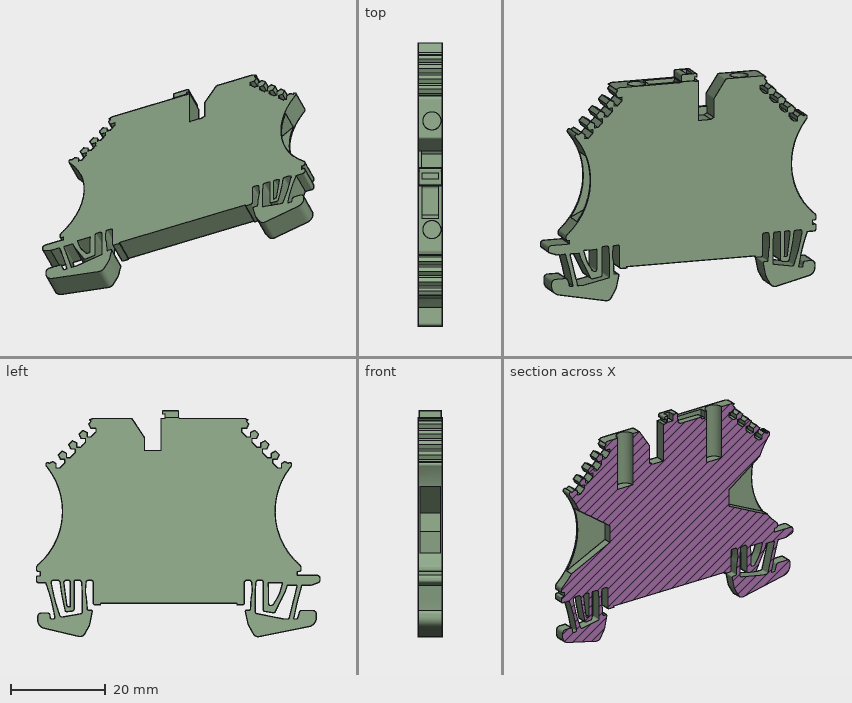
import cadquery as cq
import math


width = 5.1
top_z = 46.2
half_length = 28.0
bottom_z = 7.05
rail_foot_z = 6.75
rail_foot_inner = 14.4
rail_gap_inner = 16.0
leg_root_z = 11.93
root_round = 0.45
leg_bow = 30.0
leg_kink_round = 5.0

clip_overlap_z = 13.0
latch_lip_top = 12.9
latch_lip_bottom = 11.4
latch_hook_top = 5.06
arm_tip_y = -32.0
arm_top = 13.05
arm_underside = 10.88
release_slot_top = 11.39
release_hook_top = 5.61
heel_z = 5.65
hook_floor_z = 3.8
heel_round = 0.3
small_round = 0.2
toe_round = 2.5
apex_round = 1.2

groove_count = 4
tooth_pitch = 2.19
groove_start = (15.45, 44.1)
groove_lip = 0.75
groove_reach = 1.8
neck_height = 0.9
tooth_peak = (2.75, -0.42)
crest_round = 0.8

flank_radius = 15.0
flank_centre = (37.5, 26.55)
flank_top_y = 25.7
flank_bottom_y = 27.7
flank_tip_y = 26.0
flank_tip_round = 0.45
side_slot_floor = 27.22
side_slot_top = 13.8

funnel_width = 4.24
funnel_top_z = 31.8
funnel_ceiling_z = 26.15
funnel_sill_z = 22.3
funnel_bottom_z = 17.65
funnel_back = 15.5
funnel_mouth = 25.46

screw_radius = 1.92
screw_offset = 11.5
screw_x = 0.35
screw_depth = 12.0

notch_low_y = 1.68
notch_high_y = 5.1
notch_top_y = 7.8
notch_bend_z = 42.1
notch_floor_z = 39.42
notch_lip_x = -1.87
notch_clear_y = 9.0
notch_top_round = 0.5
notch_bend_round = 0.5
notch_recess_wall = 1.4
notch_recess_depth = 1.8
notch_recess_slope = 0.66

cap_width = 4.75
cap_top_z = 47.85
cap_lip_z = 47.1
cap_front_y = -2.1
cap_stem_y = 0.85
cap_lip_y = 1.38
cap_round = 0.3
plinth_height = 0.15
plinth_flare = 0.15
window_width = 3.46
cap_window_y = (-0.8, 0.48)
cap_window_depth = 1.5

label_pocket_y = (-9.16, -2.27)
label_pocket_depth = 1.0
label_pocket_round = 0.7
label_slot_length = 0.77
label_slot_depth = 1.5


def rounded_wire(points):
    """Closed outline from (y, z) corners; a third value rounds that corner to that radius."""
    stretches = []
    for index, corner in enumerate(points):
        here = cq.Vector(*corner[:2])
        radius = corner[2] if len(corner) > 2 else 0
        if not radius:
            stretches.append((here,))
            continue
        back = (cq.Vector(*points[index - 1][:2]) - here).normalized()
        ahead = (cq.Vector(*points[(index + 1) % len(points)][:2]) - here).normalized()
        half_angle = back.getAngle(ahead) / 2
        trim = radius / math.tan(half_angle)
        bisector = (back + ahead).normalized()
        middle = here + bisector * (radius / math.sin(half_angle) - radius)
        stretches.append((here + back * trim, middle, here + ahead * trim))

    wire = cq.Workplane("YZ").moveTo(*stretches[0][-1].toTuple()[:2])
    for stretch in stretches[1:] + stretches[:1]:
        wire = wire.lineTo(*stretch[0].toTuple()[:2])
        if len(stretch) > 1:
            wire = wire.threePointArc(stretch[1].toTuple()[:2], stretch[2].toTuple()[:2])
    return wire.close()


def plate(points, thickness=width):
    """Outline extruded symmetrically about X = 0."""
    return rounded_wire(points).extrude(thickness / 2, both=True)


def box(x_range, y_range, z_range):
    size = [high - low for low, high in (x_range, y_range, z_range)]
    corner = (x_range[0], y_range[0], z_range[0])
    return cq.Workplane("XY").box(*size, centered=False).translate(corner)


def shoulder_points():
    """Grooves and five-sided teeth stepping down the shoulder at 45 degrees."""
    tooth = [
        (0, 0),
        (0, -groove_lip),
        (groove_reach - groove_lip, -groove_reach),
        (groove_reach, -groove_reach),
        (groove_reach, -groove_reach + neck_height),
        tooth_peak,
        (tooth_peak[1] + groove_reach + tooth_pitch, tooth_peak[0] - groove_reach - tooth_pitch),
        (tooth_pitch + neck_height, -tooth_pitch),
    ]
    points = []
    for index in range(groove_count):
        y = groove_start[0] + index * tooth_pitch
        z = groove_start[1] - index * tooth_pitch
        kept = tooth if index < groove_count - 1 else tooth[:5]
        points += [(y + dy, z + dz) for dy, dz in kept]
    return points


def flank_rise(y):
    """Height of the flank circle above its centre where it passes the given Y."""
    return math.sqrt(flank_radius**2 - (flank_centre[0] - y) ** 2)


def half_body():
    crest = [
        (0, top_z),
        (16.1, top_z, crest_round),
        (16.8, 45.9),
        (16.45, 45.6),
        (16.95, 45.0),
        (16.5, groove_start[1]),
    ]
    shoulder_end = [
        (24.54, 37.1),
        (25.3, 36.7),
        (25.5, 36.9),
        (flank_tip_y, 36.9, flank_tip_round),
        (flank_tip_y, 36.2, flank_tip_round),
    ]
    base = [
        (side_slot_floor, side_slot_top),
        (side_slot_floor, leg_root_z),
        (rail_gap_inner, leg_root_z, root_round),
        (rail_gap_inner, rail_foot_z, 0.4),
        (rail_foot_inner, rail_foot_z),
        (rail_foot_inner, bottom_z),
        (0, bottom_z),
    ]
    flank_ends = [
        (flank_top_y, flank_centre[1] + flank_rise(flank_top_y)),
        (flank_bottom_y, flank_centre[1] - flank_rise(flank_bottom_y)),
    ]
    skirt = [
        (half_length, flank_ends[1][1] - (half_length - flank_bottom_y), 0.6),
        (half_length, side_slot_top, 0.4),
    ]
    blank = plate(crest + shoulder_points() + shoulder_end + flank_ends + skirt + base)
    flank = (
        cq.Workplane("YZ")
        .center(*flank_centre)
        .circle(flank_radius)
        .extrude(width / 2, both=True)
    )
    return blank.cut(flank)


def wire_funnel():
    """Tapering wire entry sunk into the +Y flank."""
    overshoot = 3.0
    floor_slope = (funnel_sill_z - funnel_bottom_z) / (funnel_mouth - funnel_back)
    ceiling_mouth = flank_centre[0] - math.sqrt(
        flank_radius**2 - (funnel_top_z - flank_centre[1]) ** 2
    )
    ceiling_slope = (funnel_top_z - funnel_ceiling_z) / (ceiling_mouth - funnel_back)
    outside = funnel_mouth + overshoot
    return plate(
        [
            (funnel_back, funnel_sill_z),
            (funnel_back, funnel_ceiling_z),
            (outside, funnel_ceiling_z + ceiling_slope * (outside - funnel_back)),
            (outside, funnel_sill_z - floor_slope * (outside - funnel_back)),
        ],
        funnel_width,
    )


def screw_hole():
    return (
        cq.Workplane("XY", origin=(screw_x, screw_offset, top_z))
        .circle(screw_radius)
        .extrude(-screw_depth)
    )


def body():
    half = half_body().cut(wire_funnel()).cut(screw_hole())
    return half.union(half.mirror("XZ"))


def latch_clip():
    """Sprung clip on the +Y side, with a folded tongue between its legs."""
    outer = plate(
        [
            (side_slot_floor, latch_lip_top),
            (half_length, latch_lip_top, 0.3),
            (half_length, latch_lip_bottom, 0.5),
            (26.05, latch_lip_bottom),
            (25.0, 8.5, leg_bow),
            (24.05, hook_floor_z, 0.25),
            (25.0, hook_floor_z, small_round),
            (25.2, latch_hook_top, 0.5),
            (27.75, latch_hook_top, 0.85),
            (27.75, 2.1, 1.8),
            (18.2, -0.15, apex_round),
            (16.75, 2.44, toe_round),
            (16.1, heel_z, heel_round),
            (17.2, heel_z, small_round),
            (17.4, 8.17, leg_kink_round),
            (17.65, 9.4, leg_kink_round),
            (17.44, leg_root_z, root_round),
            (rail_gap_inner, leg_root_z),
            (rail_gap_inner, clip_overlap_z),
        ]
    )
    around_tongue = plate(
        [
            (24.95, leg_root_z, root_round),
            (23.05, leg_root_z, root_round),
            (22.77, 9.37, leg_bow),
            (21.87, 5.24, 0.4),
            (20.0, 5.46, 0.5),
            (20.0, leg_root_z, 0.15),
            (18.5, leg_root_z, root_round),
            (18.34, 9.98, leg_bow),
            (18.34, 4.94, 0.3),
            (22.9, 4.13, 0.4),
            (24.13, 7.72, leg_bow),
        ]
    )
    tongue_slot = plate(
        [
            (22.25, leg_root_z, root_round),
            (20.87, leg_root_z, 0.35),
            (20.87, 6.36),
            (21.5, 6.36, 0.3),
            (21.87, 9.07, leg_bow),
        ]
    )
    return outer.cut(around_tongue).cut(tongue_slot)


def release_clip():
    """Sprung clip on the -Y side, with a release arm reaching past the body."""
    outer = plate(
        [
            (-side_slot_floor, arm_top),
            (arm_tip_y, arm_top, 0.7),
            (arm_tip_y, 11.55, 0.6),
            (-30.12, arm_underside),
            (-28.16, arm_underside),
            (-27.1, 7.0, leg_bow),
            (-26.45, hook_floor_z),
            (-27.2, hook_floor_z, small_round),
            (-27.75, release_hook_top, 0.6),
            (-31.24, release_hook_top, 0.85),
            (-31.24, 2.45, 2.0),
            (-18.3, -0.15, apex_round),
            (-16.75, 2.6, toe_round),
            (-16.1, heel_z, heel_round),
            (-17.25, heel_z, small_round),
            (-17.37, 8.17, leg_kink_round),
            (-17.67, 9.67, leg_kink_round),
            (-17.46, leg_root_z, root_round),
            (-rail_gap_inner, leg_root_z),
            (-rail_gap_inner, clip_overlap_z),
        ]
    )
    around_tongue = plate(
        [
            (-18.5, leg_root_z, root_round),
            (-19.96, leg_root_z, 0.35),
            (-19.96, 5.4, 0.35),
            (-22.4, 5.0, 0.5),
            (-24.7, 9.67, leg_kink_round),
            (-25.09, arm_underside),
            (-27.15, arm_underside, 0.15),
            (-25.4, hook_floor_z, small_round),
            (-24.24, hook_floor_z),
            (-18.34, 4.97, 0.3),
            (-18.34, 10.28, leg_kink_round),
        ]
    )
    tongue_slot = plate(
        [
            (-21.08, release_slot_top),
            (-24.05, release_slot_top, 0.1),
            (-23.34, 8.92, leg_kink_round),
            (-21.95, 6.62, 0.7),
            (-21.15, 6.62, 0.35),
        ]
    )
    return outer.cut(around_tongue).cut(tongue_slot)


def notch():
    """Notch for a cross-connector, with a deeper recess behind a lip at its -X side."""
    slot = plate(
        [
            (notch_low_y, cap_top_z),
            (notch_low_y, notch_floor_z),
            (notch_high_y, notch_floor_z),
            (notch_high_y, notch_bend_z, notch_bend_round),
            (notch_top_y, top_z, notch_top_round),
            (notch_clear_y, top_z),
            (notch_clear_y, cap_top_z),
        ]
    )
    recess_profile = rounded_wire(
        [
            (notch_low_y, notch_floor_z),
            (notch_low_y, notch_floor_z - notch_recess_depth),
            (notch_high_y - notch_recess_slope, notch_floor_z - notch_recess_depth),
            (notch_high_y, notch_floor_z - notch_recess_wall),
            (notch_high_y, notch_floor_z),
        ]
    )
    recess = recess_profile.extrude(width / 2 - notch_lip_x).translate((notch_lip_x, 0, 0))
    return slot.union(recess)


def marker_cap():
    """Hooked cap on a low full-width plinth beside the notch, with a blind window in its top."""
    cap = plate(
        [
            (cap_front_y, top_z),
            (cap_front_y, cap_top_z, cap_round),
            (cap_lip_y, cap_top_z, cap_round),
            (cap_lip_y, cap_lip_z),
            (cap_stem_y, cap_lip_z),
            (cap_stem_y, top_z),
        ],
        cap_width,
    )
    plinth_z = top_z + plinth_height
    plinth = plate(
        [
            (cap_stem_y, top_z),
            (cap_stem_y, plinth_z),
            (cap_front_y, plinth_z),
            (cap_front_y - plinth_flare, top_z),
        ]
    )
    window_x = (-window_width / 2, window_width / 2)
    return cap.union(plinth).cut(box(window_x, cap_window_y, (cap_top_z - cap_window_depth, cap_top_z)))


def label_pocket():
    """Pocket in the top face, with a rounded end under the cap and a deeper slot at the other."""
    floor_z = top_z - label_pocket_depth
    slot_floor_z = top_z - label_slot_depth
    slot_end_y = label_pocket_y[0] + label_slot_length
    mouth_z = top_z + plinth_height
    return plate(
        [
            (label_pocket_y[0], mouth_z),
            (label_pocket_y[0], slot_floor_z),
            (slot_end_y, slot_floor_z),
            (slot_end_y, floor_z),
            (label_pocket_y[1], floor_z, label_pocket_round),
            (label_pocket_y[1], mouth_z),
        ],
        window_width,
    )


result = body().union(latch_clip()).union(release_clip())
result = result.cut(notch()).union(marker_cap()).cut(label_pocket())